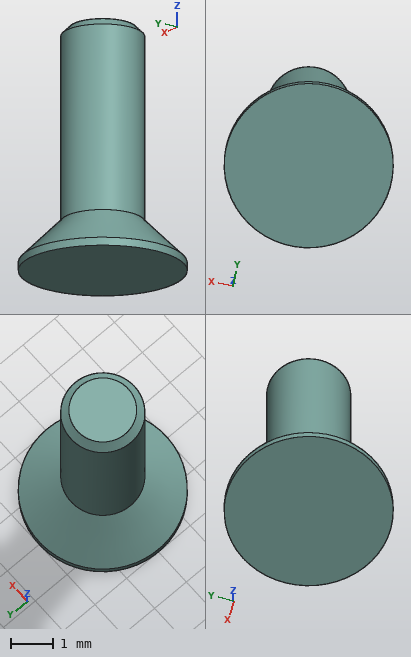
import cadquery as cq

total_length = 6.0
shank_diameter = 2.0
head_diameter = 4.0
rim_height = 0.2
tip_chamfer = 0.2

shank_radius = shank_diameter / 2
head_radius = head_diameter / 2
cone_height = head_radius - shank_radius
head_height = rim_height + cone_height

half_profile = (
    cq.Workplane("XZ")
    .lineTo(head_radius, 0)
    .lineTo(head_radius, rim_height)
    .lineTo(shank_radius, head_height)
    .lineTo(shank_radius, total_length - tip_chamfer)
    .lineTo(shank_radius - tip_chamfer, total_length)
    .lineTo(0, total_length)
    .close()
)

result = half_profile.revolve(360, (0, 0, 0), (0, 1, 0))